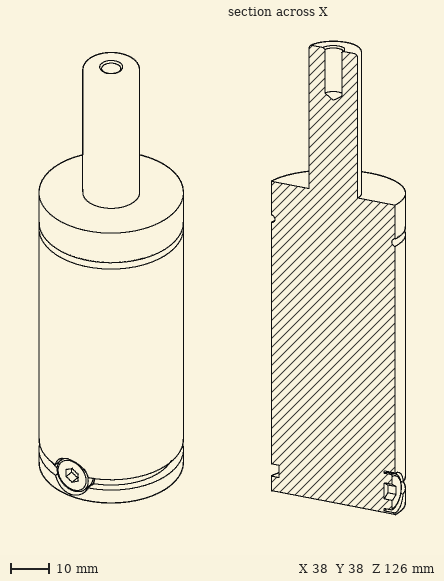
import cadquery as cq
import math

total_height = 126.0
body_diameter = 38.0
body_height = 86.0
rod_diameter = 15.0
rod_edge_radius = 1.0

cap_groove_z = 75.6
cap_groove_radius = 1.0

flange_height = 4.2
base_groove_top = 7.4
base_groove_diameter = 33.4

rod_hole_diameter = 5.0
rod_hole_depth = 12.6
rod_hole_chamfer = 0.5
drill_point_angle = 118.0

plug_bore_diameter = 11.0
plug_bore_depth = 2.5
plug_diameter = 10.0
plug_chamfer_width = 0.5
plug_chamfer_depth = 0.3
plug_z = 6.0
plug_face_offset = 18.1
hex_across_flats = 3.8
hex_depth = 2.5

body_radius = body_diameter / 2
plug_seat_offset = plug_face_offset - plug_bore_depth


def cylinder(diameter, bottom, top):
    return cq.Workplane("XY").workplane(offset=bottom).circle(diameter / 2).extrude(top - bottom)


def side_plane(distance):
    """Workplane facing -Y, centred on the plug axis at a distance from the body axis."""
    return cq.Workplane("XZ", origin=(0, -distance, plug_z))


def make_body():
    """Round body with a half-round groove near the top and a square groove near the base."""
    body = cylinder(body_diameter, 0, body_height)
    base_groove = cylinder(body_diameter, flange_height, base_groove_top).cut(
        cylinder(base_groove_diameter, flange_height, base_groove_top)
    )
    cap_groove = (
        cq.Workplane("XZ")
        .center(body_radius, cap_groove_z)
        .circle(cap_groove_radius)
        .revolve(360, (-body_radius, 0), (-body_radius, 1))
    )
    return body.cut(base_groove).cut(cap_groove)


def make_rod():
    rod = cylinder(rod_diameter, body_height, total_height)
    return rod.faces(">Z").edges().fillet(rod_edge_radius)


def make_rod_hole():
    """Blind drilled hole with a conical bottom and a chamfered mouth."""
    hole_radius = rod_hole_diameter / 2
    hole_bottom = total_height - rod_hole_depth
    point_depth = hole_radius / math.tan(math.radians(drill_point_angle / 2))
    return (
        cq.Workplane("XZ")
        .moveTo(0, total_height)
        .lineTo(hole_radius + rod_hole_chamfer, total_height)
        .lineTo(hole_radius, total_height - rod_hole_chamfer)
        .lineTo(hole_radius, hole_bottom)
        .lineTo(0, hole_bottom - point_depth)
        .close()
        .revolve(360, (0, 0), (0, 1))
    )


def make_plug_bore():
    bore_length = body_radius - plug_seat_offset
    return side_plane(plug_seat_offset).circle(plug_bore_diameter / 2).extrude(bore_length)


def make_plug():
    """Chamfered round plug with a hexagonal socket in its face."""
    plug_radius = plug_diameter / 2
    shoulder = plug_bore_depth - plug_chamfer_depth
    plug = side_plane(plug_seat_offset).circle(plug_radius).extrude(shoulder)
    tip_taper = math.degrees(math.atan2(plug_chamfer_width, plug_chamfer_depth))
    tip = (
        side_plane(plug_face_offset - plug_chamfer_depth)
        .circle(plug_radius)
        .extrude(plug_chamfer_depth, taper=tip_taper)
    )
    hex_across_corners = hex_across_flats / math.cos(math.pi / 6)
    socket = (
        side_plane(plug_face_offset - hex_depth)
        .transformed(rotate=(0, 0, 90))
        .polygon(6, hex_across_corners)
        .extrude(hex_depth)
    )
    return plug.union(tip).cut(socket)


body_with_bore = make_body().cut(make_plug_bore())
result = body_with_bore.union(make_plug()).union(make_rod()).cut(make_rod_hole())